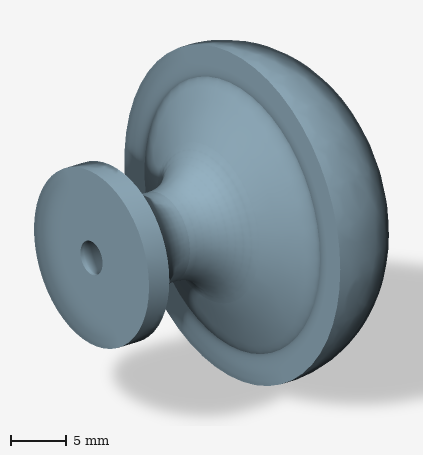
import cadquery as cq
import math

head_radius = 16.0
total_length = 27.0
head_height = 10.8
head_rounding = 10.25
cone_outer_radius = 13.0
foot_radius = 8.5
foot_thickness = 2.35
neck_radius = 4.22
neck_height = 8.03
cone_start_height = 13.38
cone_start_radius = 7.55

hole_radius = 1.63
hole_depth = 12.0
drill_tip_angle = 118.0

head_base_height = total_length - head_height

crown_radius = head_radius - head_rounding
widest_height = total_length - head_rounding
head_base_radius = crown_radius + math.sqrt(head_rounding**2 - (widest_height - head_base_height) ** 2)


def revolve_about_y(profile):
    return profile.close().revolve(360, (0, 0, 0), (0, 1, 0))


def neck_arc_midpoint(end_radius, end_height):
    """Midpoint of the arc that leaves the neck parallel to the axis and ends at the given point."""
    rise = end_height - neck_height
    flare = end_radius - neck_radius
    arc_radius = (rise**2 + flare**2) / (2 * flare)
    half_angle = math.atan2(rise, arc_radius - flare) / 2
    return (
        neck_radius + arc_radius * (1 - math.cos(half_angle)),
        neck_height + arc_radius * math.sin(half_angle),
    )


def make_body():
    foot_rim = (foot_radius, foot_thickness)
    neck = (neck_radius, neck_height)
    cone_start = (cone_start_radius, cone_start_height)
    profile = (
        cq.Workplane("XY")
        .lineTo(foot_radius, 0)
        .lineTo(*foot_rim)
        .threePointArc(neck_arc_midpoint(*foot_rim), neck)
        .threePointArc(neck_arc_midpoint(*cone_start), cone_start)
        .lineTo(cone_outer_radius, head_base_height)
        .lineTo(head_base_radius, head_base_height)
        .threePointArc((head_radius, widest_height), (crown_radius, total_length))
        .lineTo(0, total_length)
    )
    return revolve_about_y(profile)


def make_screw_hole():
    tip_length = hole_radius / math.tan(math.radians(drill_tip_angle / 2))
    profile = (
        cq.Workplane("XY")
        .lineTo(hole_radius, 0)
        .lineTo(hole_radius, hole_depth)
        .lineTo(0, hole_depth + tip_length)
    )
    return revolve_about_y(profile)


result = make_body().cut(make_screw_hole())